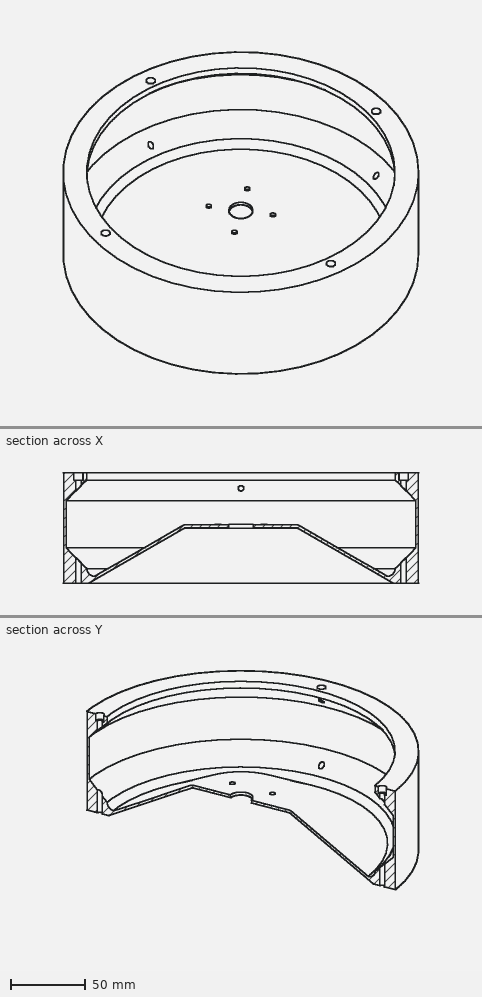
import cadquery as cq
import math

outer_radius = 120.0
height = 75.0
wall_inner_radius = 236.0 / 2
rim_inner_radius = 208.0 / 2
rim_thickness = 5.0

floor_thickness = 5.0
trough_radius = 5.0
hub_height = 39.8
hub_corner_radius = 38.5
hub_fillet = 4.0
cone_thickness = 2.5

centre_bore = 16.0
small_bore = 3.5
hub_hole_pitch = 31.2
rim_bolt_radius = 109.7
rim_counterbore = 6.0
rim_counterbore_depth = 5.0

transition = wall_inner_radius - rim_inner_radius
trough_inner_radius = rim_inner_radius - trough_radius
trough_top = floor_thickness + trough_radius
cone_angle = math.atan2(hub_height - floor_thickness, trough_inner_radius - hub_corner_radius)

cone_drop = cone_thickness / math.cos(cone_angle)
hub_underside = hub_height - cone_thickness
underside_slope = math.tan(cone_angle)
underside_hub_radius = hub_corner_radius + (cone_thickness - cone_drop) / underside_slope
underside_foot_radius = trough_inner_radius + (floor_thickness - cone_drop) / underside_slope


def housing_body():
    """Revolve the half section about Z."""
    trough_mid = trough_radius * math.sqrt(0.5)
    section = (
        cq.Workplane("XZ")
        .moveTo(0, hub_underside)
        .lineTo(underside_hub_radius, hub_underside)
        .lineTo(underside_foot_radius, 0)
        .lineTo(outer_radius, 0)
        .lineTo(outer_radius, height)
        .lineTo(rim_inner_radius, height)
        .lineTo(rim_inner_radius, height - rim_thickness)
        .lineTo(wall_inner_radius, height - rim_thickness - transition)
        .lineTo(wall_inner_radius, trough_top + transition)
        .lineTo(rim_inner_radius, trough_top)
        .threePointArc(
            (trough_inner_radius + trough_mid, trough_top - trough_mid),
            (trough_inner_radius, floor_thickness),
        )
        .lineTo(hub_corner_radius, hub_height)
        .lineTo(0, hub_height)
        .close()
    )
    return section.revolve(360, (0, 0, 0), (0, 1, 0))


def round_hub_edge(body):
    """Blend the hub's flat top into the cone."""
    hub_edge = cq.selectors.NearestToPointSelector((0, 0, hub_height))
    return body.edges(hub_edge).fillet(hub_fillet)


def drill_hub(body):
    """Centre bore and four small holes on a square, all through the hub plate."""
    top = cq.Workplane("XY")
    bore = top.circle(centre_bore / 2).extrude(height)
    small_holes = top.rect(hub_hole_pitch, hub_hole_pitch, forConstruction=True).vertices()
    return body.cut(bore).cut(small_holes.circle(small_bore / 2).extrude(height))


def drill_rim(body):
    """Four counterbored bolt holes through the rim and on through the floor's edge."""
    positions = cq.Workplane("XY").workplane(offset=height).polarArray(rim_bolt_radius, 0, 360, 4)
    bolts = positions.circle(small_bore / 2).extrude(-height)
    heads = positions.circle(rim_counterbore / 2).extrude(-rim_counterbore_depth)
    return body.cut(bolts).cut(heads)


result = drill_rim(drill_hub(round_hub_edge(housing_body())))